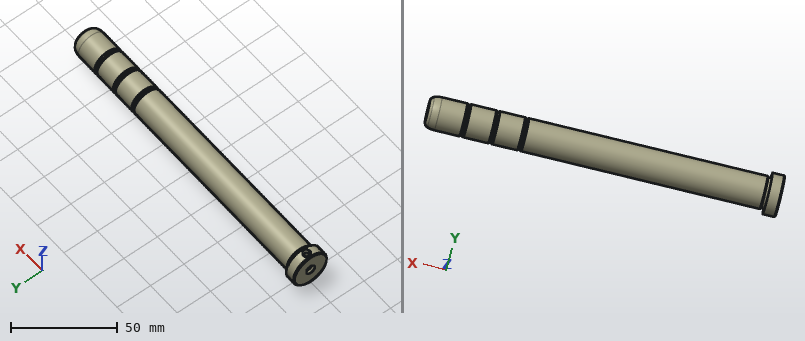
import cadquery as cq

length = 170.0
head_radius = 10.0
head_length = 6.0
head_chamfer = 0.5
shank_radius = 8.0

relief_radius = 7.5
relief_end = head_length + 2.0
relief_taper = 0.5

first_groove_x = 124.0
groove_pitch = 14.0
groove_count = 3
groove_width = 2.0
groove_depth = 0.5

lead_in_length = 5.1
nose_length = 1.5
nose_start_radius = 7.3
tip_radius = 5.6
lead_in_bulge = 0.2
nose_bulge = 0.3

hole_radius = 1.2
countersink_radius = 2.5
countersink_depth = countersink_radius - hole_radius
side_countersink_radius = 2.2
side_countersink_depth = side_countersink_radius - hole_radius


def bulged_midpoint(start, end, bulge):
    """Point over the middle of a chord, raised away from the pin axis."""
    return ((start[0] + end[0]) / 2, (start[1] + end[1]) / 2 + bulge)


def pin_body():
    """Solid of revolution; its half profile is (distance along X, radius)."""
    lead_in_start = (length - lead_in_length, shank_radius)
    nose_start = (length - nose_length, nose_start_radius)
    tip = (length, tip_radius)
    profile = (
        cq.Workplane("XZ")
        .moveTo(0, 0)
        .lineTo(0, head_radius - head_chamfer)
        .lineTo(head_chamfer, head_radius)
        .lineTo(head_length, head_radius)
        .lineTo(head_length, relief_radius)
        .lineTo(relief_end - relief_taper, relief_radius)
        .lineTo(relief_end, shank_radius)
    )
    for index in range(groove_count):
        center = first_groove_x + index * groove_pitch
        profile = (
            profile.lineTo(center - groove_width / 2, shank_radius)
            .lineTo(center, shank_radius - groove_depth)
            .lineTo(center + groove_width / 2, shank_radius)
        )
    profile = (
        profile.lineTo(*lead_in_start)
        .threePointArc(bulged_midpoint(lead_in_start, nose_start, lead_in_bulge), nose_start)
        .threePointArc(bulged_midpoint(nose_start, tip, nose_bulge), tip)
        .lineTo(length, 0)
        .close()
    )
    return profile.revolve(360, (0, 0, 0), (1, 0, 0))


def countersunk_hole(mouth, direction, depth, mouth_radius, sink_depth):
    """Cutter for a round hole with a conical mouth."""
    bore = cq.Solid.makeCylinder(hole_radius, depth, mouth, direction)
    cone = cq.Solid.makeCone(mouth_radius, hole_radius, sink_depth, mouth, direction)
    return bore.fuse(cone)


axial_hole = countersunk_hole(
    cq.Vector(0, 0, 0), cq.Vector(1, 0, 0), head_length, countersink_radius, countersink_depth
)
side_hole = countersunk_hole(
    cq.Vector(head_length / 2, 0, head_radius),
    cq.Vector(0, 0, -1),
    head_radius,
    side_countersink_radius,
    side_countersink_depth,
)

result = pin_body().cut(cq.Workplane(axial_hole)).cut(cq.Workplane(side_hole))